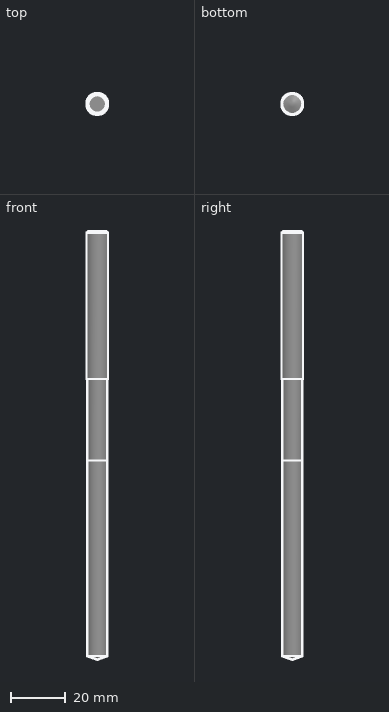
import cadquery as cq
import math

total_length = 156.3
shank_diameter = 8.0
shank_length = 54.0
shank_chamfer_width = 0.8
shank_chamfer_height = 0.6
drill_diameter = 7.3
cutting_length = 72.7
point_angle = 140.0

top_z = total_length / 2
tip_z = -total_length / 2
shank_bottom_z = top_z - shank_length
cutting_top_z = tip_z + cutting_length

shank_radius = shank_diameter / 2
drill_radius = drill_diameter / 2
point_height = drill_radius / math.tan(math.radians(point_angle / 2))


def turned_body(profile):
    """Revolve a closed half profile of (radius, height) points around Z."""
    points = [(-radius, height) for radius, height in profile]
    return cq.Workplane("YZ").polyline(points).close().revolve(360, (0, 0), (0, 1))


def make_holder():
    """Chamfered shank with the plain neck below it."""
    return turned_body([
        (0, cutting_top_z),
        (drill_radius, cutting_top_z),
        (drill_radius, shank_bottom_z),
        (shank_radius, shank_bottom_z),
        (shank_radius, top_z - shank_chamfer_height),
        (shank_radius - shank_chamfer_width, top_z),
        (0, top_z),
    ])


def make_cutting_part():
    """Cylindrical cutting length ending in a conical point."""
    return turned_body([
        (0, tip_z),
        (drill_radius, tip_z + point_height),
        (drill_radius, cutting_top_z),
        (0, cutting_top_z),
    ])


holder = make_holder()
cutting_part = make_cutting_part()

result = cq.Compound.makeCompound([holder.val(), cutting_part.val()])